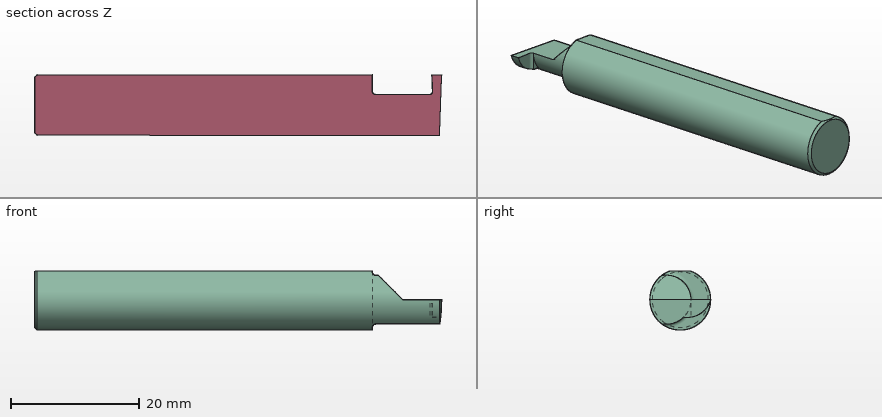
import cadquery as cq
import math

shank_radius = 4.7625
shank_length = 52.65
flat_height = 4.4975
rear_chamfer = 0.4

neck_radius = 3.83
neck_axis_y = -2.16
neck_root_fillet = 0.55

overall_length = 63.5
rake_height = 0.0
ramp_angle = 45.0
ramp_foot_x = 57.4
end_relief_angle = 2.0
front_clearance_angle = 1.0

arm_width = 1.58
arm_side_relief_angle = 2.0
arm_root_fillet = 0.4
arm_clearance_angle = 16.0
arm_clearance_radius = 3.83

neck_edge_y = neck_axis_y + neck_radius
head_length = overall_length - shank_length
margin = 10.0


def slope(angle):
    return math.tan(math.radians(angle))


def make_shank():
    """Full-length round bar with a chamfered rear end."""
    bar = cq.Workplane("YZ").circle(shank_radius).extrude(overall_length)
    return bar.faces("<X").chamfer(rear_chamfer)


def make_flat_cutter():
    """Block above the clamping flat."""
    plane = cq.Workplane("XY", origin=(overall_length / 2, 0, flat_height))
    return plane.rect(overall_length + margin, 2 * margin).extrude(margin)


def make_neck_envelope():
    """Space the shank and neck may fill: a neck cylinder flaring through a fillet to the shank's end face."""
    fillet_rim = neck_radius + neck_root_fillet
    outer_radius = shank_radius + margin
    return (
        cq.Workplane("XY", origin=(0, neck_axis_y, 0))
        .moveTo(0, 0)
        .lineTo(0, outer_radius)
        .lineTo(shank_length, outer_radius)
        .lineTo(shank_length, fillet_rim)
        .radiusArc((shank_length + neck_root_fillet, neck_radius), -neck_root_fillet)
        .lineTo(overall_length, neck_radius)
        .lineTo(overall_length, 0)
        .close()
        .revolve(360, (0, 0, 0), (1, 0, 0))
    )


def make_arm():
    """Cutting arm below the rake face; its tip curves under to clear the bore."""
    inner_x = overall_length - arm_width
    root_x = inner_x + (shank_radius - neck_edge_y) * slope(arm_side_relief_angle)
    overlap_y = neck_axis_y
    root_fillet_y = neck_edge_y + arm_root_fillet
    plan = (
        cq.Workplane("XY")
        .moveTo(overall_length, overlap_y)
        .lineTo(overall_length, shank_radius)
        .lineTo(inner_x, shank_radius)
        .lineTo(root_x, root_fillet_y)
        .radiusArc((root_x - arm_root_fillet, neck_edge_y), arm_root_fillet)
        .lineTo(root_x - arm_root_fillet, overlap_y)
        .close()
        .extrude(-neck_radius)
    )
    angle = math.radians(arm_clearance_angle)
    center_y = shank_radius - arm_clearance_radius * math.cos(angle)
    center_z = rake_height + arm_clearance_radius * math.sin(angle)
    tip_envelope = (
        cq.Workplane("YZ", origin=(0, center_y, center_z))
        .circle(arm_clearance_radius)
        .extrude(overall_length)
    )
    return plan.intersect(tip_envelope)


def make_ramp_cutter():
    """Everything above the flat rake face and the ramp rising from it to the neck."""
    rise = shank_radius
    ramp_top_x = ramp_foot_x - rise / slope(ramp_angle)
    ramp_top_z = rake_height + rise
    ramp = (
        cq.Workplane("XZ")
        .moveTo(overall_length + margin, rake_height)
        .lineTo(ramp_foot_x, rake_height)
        .lineTo(ramp_top_x, ramp_top_z)
        .lineTo(overall_length + margin, ramp_top_z)
        .close()
        .extrude(margin, both=True)
    )
    head_zone = cq.Workplane("YZ", origin=(shank_length, 0, 0)).rect(2 * margin, 2 * margin).extrude(head_length)
    return ramp.intersect(head_zone)


def make_end_cutter():
    """Block beyond the end face, which leans back from the cutting corner in -Y and -Z."""
    block = cq.Workplane("YZ").rect(4 * margin, 4 * margin).extrude(margin)
    block = block.rotate((0, 0, 0), (0, 0, 1), -end_relief_angle)
    block = block.rotate((0, 0, 0), (0, 1, 0), front_clearance_angle)
    return block.translate((overall_length, shank_radius, rake_height))


body = make_shank().cut(make_flat_cutter()).intersect(make_neck_envelope())
result = body.union(make_arm()).cut(make_ramp_cutter()).cut(make_end_cutter())